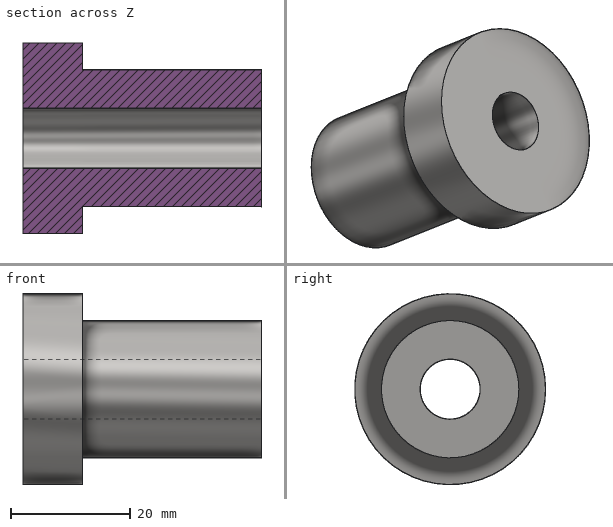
import cadquery as cq

flange_diameter = 32.0
flange_thickness = 10.0
sleeve_diameter = 23.0
bore_diameter = 10.0
overall_length = 40.0


def cylinder_along_x(diameter, length):
    """Solid cylinder on the X axis, starting at X = 0."""
    return cq.Workplane("YZ").circle(diameter / 2).extrude(length)


flange = cylinder_along_x(flange_diameter, flange_thickness)
sleeve = cylinder_along_x(sleeve_diameter, overall_length)
through_bore = cylinder_along_x(bore_diameter, overall_length)

result = flange.union(sleeve).cut(through_bore)